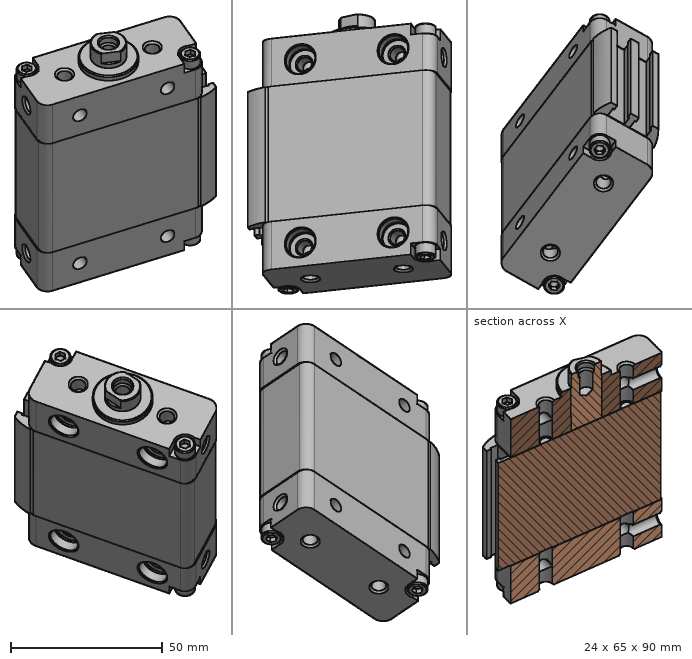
import cadquery as cq
import math


WIDTH = 24.0
DEPTH = 60.0
CAP_HEIGHT = 17.0
BARREL_HEIGHT = 48.0
CAP_CORNER_RADIUS = 4.0
HALF_WIDTH = WIDTH / 2
HALF_DEPTH = DEPTH / 2
FRONT_CAP_BASE = CAP_HEIGHT + BARREL_HEIGHT
BODY_TOP = FRONT_CAP_BASE + CAP_HEIGHT

BARREL_STEP = 0.4
BARREL_CORNER_RADIUS = CAP_CORNER_RADIUS - BARREL_STEP
RAIL_TOP = HALF_DEPTH + 4.95
RAIL_FOOT = 28.2
RAIL_ARC_MIDDLE = (11.1, 31.7)
RAIL_TOP_HALF_WIDTH = 9.4
GROOVE_WIDTH = 1.1
GROOVE_DEPTH = 0.3
SLOT_DEPTH = 4.8
SLOT_INNER_X = 1.1
SLOT_OUTER_X = 7.6
LIP_DEPTH = 1.8
MOUTH_INNER_X = 1.6
MOUTH_OUTER_X = 7.0

COLLAR_DIAMETER = 20.0
COLLAR_HEIGHT = 2.0
COLLAR_CHAMFER = 0.45
ROD_DIAMETER = 12.0
ROD_PROJECTION = 6.0
ROD_CHAMFER = 0.3
ROD_TOP = BODY_TOP + COLLAR_HEIGHT + ROD_PROJECTION
FLAT_WIDTH = 10.0
FLAT_HEIGHT = 4.2
FLAT_ANGLE = 15
ROD_MOUTH_DIAMETER = 7.2
ROD_RECESS_DIAMETER = 6.2
ROD_RECESS_DEPTH = 2.7
ROD_BORE_DEPTH = 10.8

BORE_DIAMETER = 4.95
COUNTERSINK_DIAMETER = 6.4
END_HOLE_TIP_DIAMETER = 4.0
DRILL_HALF_ANGLE = math.radians(59)
HOLE_OFFSET = 16.0
HOLE_INSET = 8.5
MOUNTING_COUNTERSINK_DIAMETER = 5.9
COUNTERBORE_DIAMETER = 10.0
COUNTERBORE_MOUTH_DIAMETER = 10.8
COUNTERBORE_DEPTH = 3.8
SEAT_DIAMETER = 9.7
SEAT_DEPTH = 4.5

SCREW_INSET = 4.0
SCREW_HEAD_DIAMETER = 6.8
SCREW_CHAMFER = 0.45
RECESS_DEPTH = 4.0
RECESS_X = 7.65
RECESS_Y = 7.9
RECESS_DIAMETER = 8.0
HEX_ACROSS_FLATS = 3.2
HEX_TURN = 90
HEX_DEPTH = 2.0


def cone_between(large_diameter, small_diameter, height, base, direction):
    """Tapered plug that narrows from `base` along `direction`."""
    start = cq.Vector(*base)
    axis = cq.Vector(*direction)
    return cq.Workplane(cq.Solid.makeCone(large_diameter / 2, small_diameter / 2, height, start, axis))


def rod_of(diameter, length, base, direction):
    """Round bar that starts at `base` and runs along `direction`."""
    return cq.Workplane(cq.Solid.makeCylinder(diameter / 2, length, cq.Vector(*base), cq.Vector(*direction)))


def countersunk(bore, mouth, length, base, direction):
    """Cutter for a bore whose mouth has a 45 degree countersink."""
    sink = cone_between(mouth, bore, (mouth - bore) / 2, base, direction)
    return rod_of(bore, length, base, direction).union(sink)


def end_hole(y):
    """Axial hole through a cap, narrowed by its drill tip where it meets the barrel."""
    tip_height = (BORE_DIAMETER - END_HOLE_TIP_DIAMETER) / 2 / math.tan(DRILL_HALF_ANGLE)
    straight = CAP_HEIGHT - tip_height
    hole = countersunk(BORE_DIAMETER, COUNTERSINK_DIAMETER, straight, (0, y, CAP_HEIGHT), (0, 0, -1))
    tip = cone_between(BORE_DIAMETER, END_HOLE_TIP_DIAMETER, tip_height, (0, y, tip_height), (0, 0, -1))
    return hole.union(tip)


def mounting_hole(y, z):
    """Cross hole with a chamfered, stepped counterbore on the -X side."""
    along = (1, 0, 0)
    face = (-HALF_WIDTH, y, z)
    seat_floor = (-HALF_WIDTH + SEAT_DEPTH, y, z)
    counterbore = countersunk(
        COUNTERBORE_DIAMETER, COUNTERBORE_MOUTH_DIAMETER, COUNTERBORE_DEPTH, face, along
    )
    seat = rod_of(SEAT_DIAMETER, SEAT_DEPTH, face, along)
    hole = countersunk(BORE_DIAMETER, MOUNTING_COUNTERSINK_DIAMETER, WIDTH - SEAT_DEPTH, seat_floor, along)
    return counterbore.union(seat).union(hole)


def box_between(low_corner, high_corner):
    """Box as tall as the screw recess between two corners in plan."""
    x0, y0 = low_corner
    x1, y1 = high_corner
    return cq.Workplane(
        cq.Solid.makeBox(x1 - x0, y1 - y0, RECESS_DEPTH, cq.Vector(x0, y0, CAP_HEIGHT - RECESS_DEPTH))
    )


def screw_recess():
    """Pocket around a screw head, open to both outer faces of the (+X, +Y) corner."""
    x = HALF_WIDTH - SCREW_INSET
    y = HALF_DEPTH - SCREW_INSET
    seat = cq.Workplane("XY", origin=(x, y, CAP_HEIGHT - RECESS_DEPTH))
    pocket = seat.circle(RECESS_DIAMETER / 2).extrude(RECESS_DEPTH)
    wall_x = HALF_WIDTH - RECESS_X
    wall_y = HALF_DEPTH - RECESS_Y
    toward_y = box_between((wall_x, y), (HALF_WIDTH, HALF_DEPTH))
    toward_x = box_between((x, wall_y), (HALF_WIDTH, HALF_DEPTH))
    return pocket.union(toward_y).union(toward_x)


def screw_head():
    """Socket head, flush with the cap end, for the (+X, +Y) corner."""
    x = HALF_WIDTH - SCREW_INSET
    y = HALF_DEPTH - SCREW_INSET
    head = (
        cq.Workplane("XY", origin=(x, y, CAP_HEIGHT - RECESS_DEPTH))
        .circle(SCREW_HEAD_DIAMETER / 2)
        .extrude(RECESS_DEPTH)
        .faces(">Z")
        .chamfer(SCREW_CHAMFER)
    )
    socket_floor = CAP_HEIGHT - HEX_DEPTH
    socket = (
        cq.Workplane("XY", origin=(x, y, socket_floor))
        .transformed(rotate=(0, 0, HEX_TURN))
        .polygon(6, HEX_ACROSS_FLATS / math.cos(math.radians(30)))
        .extrude(HEX_DEPTH)
    )
    tip_height = HEX_ACROSS_FLATS / 2 / math.tan(DRILL_HALF_ANGLE)
    tip = cone_between(HEX_ACROSS_FLATS, 0, tip_height, (x, y, socket_floor), (0, 0, -1))
    return head.cut(socket).cut(tip)


def make_cap():
    """End cap with its barrel side on Z = 0 and its outer end on top."""
    cap = (
        cq.Workplane("XY")
        .rect(WIDTH, DEPTH)
        .extrude(CAP_HEIGHT)
        .edges("|Z")
        .fillet(CAP_CORNER_RADIUS)
    )
    hole_height = CAP_HEIGHT - HOLE_INSET
    for y in (-HOLE_OFFSET, HOLE_OFFSET):
        cap = cap.cut(end_hole(y)).cut(mounting_hole(y, hole_height))
    port_depth = HALF_DEPTH - HOLE_OFFSET
    port = countersunk(
        BORE_DIAMETER, COUNTERSINK_DIAMETER, port_depth, (0, -HALF_DEPTH, hole_height), (0, 1, 0)
    )
    cap = cap.cut(port)
    for turn in (0, 180):
        cap = cap.cut(screw_recess().rotate((0, 0, 0), (0, 0, 1), turn))
        cap = cap.union(screw_head().rotate((0, 0, 0), (0, 0, 1), turn))
    return cap


def make_rear_cap():
    """Plain cap turned upside down below the barrel."""
    return make_cap().mirror("XY").translate((0, 0, CAP_HEIGHT))


def make_front_cap():
    """Cap with a collar and a bore for the rod."""
    collar = (
        cq.Workplane("XY", origin=(0, 0, CAP_HEIGHT))
        .circle(COLLAR_DIAMETER / 2)
        .extrude(COLLAR_HEIGHT)
        .faces(">Z")
        .chamfer(COLLAR_CHAMFER)
    )
    rod_bore = rod_of(ROD_DIAMETER, CAP_HEIGHT + COLLAR_HEIGHT, (0, 0, 0), (0, 0, 1))
    return make_cap().union(collar).cut(rod_bore).translate((0, 0, FRONT_CAP_BASE))


def sensor_slot():
    """T-shaped slot on the +X side of the rail's middle web."""
    slot_floor = RAIL_TOP - SLOT_DEPTH
    lip_bottom = RAIL_TOP - LIP_DEPTH
    return (
        cq.Workplane("XY", origin=(0, 0, CAP_HEIGHT))
        .moveTo(SLOT_INNER_X, slot_floor)
        .lineTo(SLOT_OUTER_X, slot_floor)
        .lineTo(SLOT_OUTER_X, lip_bottom)
        .lineTo(MOUTH_OUTER_X, lip_bottom)
        .lineTo(MOUTH_OUTER_X, RAIL_TOP)
        .lineTo(MOUTH_INNER_X, RAIL_TOP)
        .lineTo(MOUTH_INNER_X, lip_bottom)
        .lineTo(SLOT_INNER_X, lip_bottom)
        .close()
        .extrude(BARREL_HEIGHT)
    )


def make_barrel():
    """Profiled barrel with two sensor slots on its +Y side."""
    bottom = -HALF_DEPTH + BARREL_STEP
    groove_end = RAIL_FOOT - GROOVE_WIDTH
    groove_x = HALF_WIDTH - GROOVE_DEPTH
    groove_y = RAIL_FOOT - GROOVE_WIDTH / 2
    arc_x, arc_y = RAIL_ARC_MIDDLE
    barrel = (
        cq.Workplane("XY", origin=(0, 0, CAP_HEIGHT))
        .moveTo(-HALF_WIDTH, bottom)
        .lineTo(HALF_WIDTH, bottom)
        .lineTo(HALF_WIDTH, groove_end)
        .threePointArc((groove_x, groove_y), (HALF_WIDTH, RAIL_FOOT))
        .threePointArc((arc_x, arc_y), (RAIL_TOP_HALF_WIDTH, RAIL_TOP))
        .lineTo(-RAIL_TOP_HALF_WIDTH, RAIL_TOP)
        .threePointArc((-arc_x, arc_y), (-HALF_WIDTH, RAIL_FOOT))
        .threePointArc((-groove_x, groove_y), (-HALF_WIDTH, groove_end))
        .close()
        .extrude(BARREL_HEIGHT)
        .edges("|Z and <Y")
        .fillet(BARREL_CORNER_RADIUS)
    )
    slot = sensor_slot()
    return barrel.cut(slot).cut(slot.mirror("YZ"))


def make_rod():
    """Piston rod with two wrench flats and a stepped threaded bore."""
    rod = (
        cq.Workplane("XY", origin=(0, 0, FRONT_CAP_BASE))
        .circle(ROD_DIAMETER / 2)
        .extrude(ROD_TOP - FRONT_CAP_BASE)
        .faces(">Z")
        .chamfer(ROD_CHAMFER)
    )
    flat_zone = cq.Workplane("XY", origin=(0, 0, ROD_TOP - FLAT_HEIGHT))
    outside_flats = flat_zone.rect(2 * ROD_DIAMETER, 2 * ROD_DIAMETER).extrude(FLAT_HEIGHT).cut(
        flat_zone.rect(FLAT_WIDTH, 2 * ROD_DIAMETER).extrude(FLAT_HEIGHT)
    )
    rod = rod.cut(outside_flats.rotate((0, 0, 0), (0, 0, 1), -FLAT_ANGLE))

    down = (0, 0, -1)
    recess_floor = ROD_TOP - ROD_RECESS_DEPTH
    bore_floor = ROD_TOP - ROD_BORE_DEPTH
    recess = countersunk(ROD_RECESS_DIAMETER, ROD_MOUTH_DIAMETER, ROD_RECESS_DEPTH, (0, 0, ROD_TOP), down)
    bore_length = recess_floor - bore_floor
    bore = countersunk(BORE_DIAMETER, ROD_RECESS_DIAMETER, bore_length, (0, 0, recess_floor), down)
    tip_height = BORE_DIAMETER / 2 / math.tan(DRILL_HALF_ANGLE)
    tip = cone_between(BORE_DIAMETER, 0, tip_height, (0, 0, bore_floor), down)
    return rod.cut(recess).cut(bore).cut(tip)


rear_cap = make_rear_cap()
barrel = make_barrel()
front_cap = make_front_cap()
piston_rod = make_rod()

bodies = [rear_cap, barrel, front_cap, piston_rod]
result = cq.Compound.makeCompound([body.solids().val() for body in bodies])